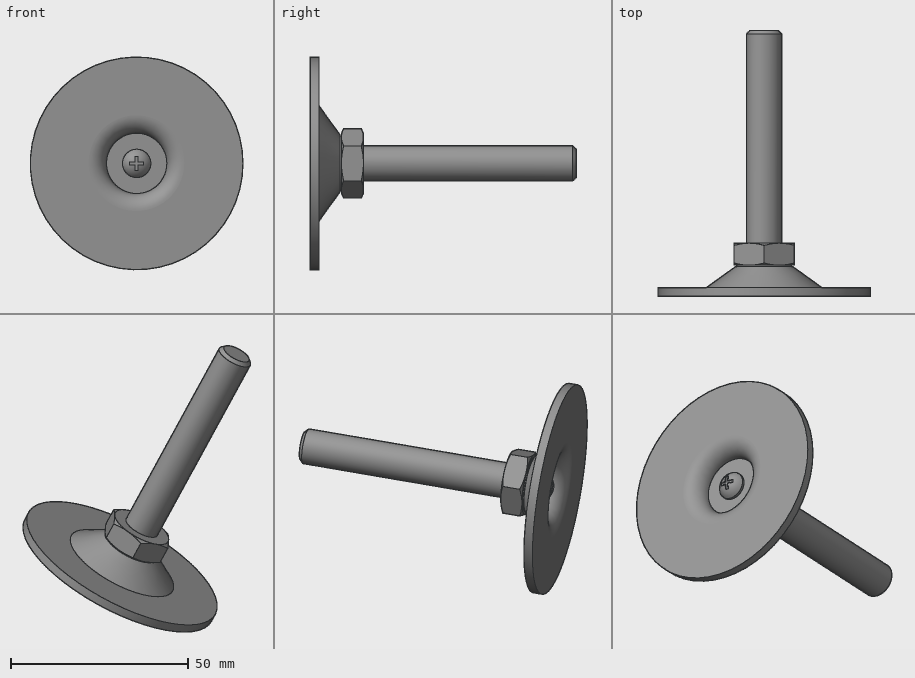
import cadquery as cq
import math


plate_diameter = 60.0
plate_thickness = 2.5
cone_base_diameter = 32.6
cone_top_diameter = 16.2
cone_top_height = 8.4

recess_floor_diameter = 17.0
flare_radius = 5.0
recess_depth = flare_radius

pin_diameter = 8.0
pin_rim_height = 0.7
dome_height = 2.4
slot_length = 4.0
slot_width = 0.8
slot_depth = 0.5

nut_across_flats = 17.0
hexagon_half_angle = 30.0
nut_bottom_height = 8.8
nut_top_height = 15.0
nut_chamfer_angle = 25.0
collar_diameter = 15.5

overall_length = 75.0
stud_diameter = 10.0
stud_chamfer = 1.0


def revolve_about_y(profile):
    """Turn a closed profile, drawn as (radius, height), about the Y axis."""
    return profile.close().revolve(360, (0, 0, 0), (0, 1, 0))


def cylinder(diameter, bottom, top):
    """Cylinder on the Y axis between two heights."""
    return cq.Workplane("XZ", origin=(0, bottom, 0)).circle(diameter / 2).extrude(bottom - top)


def make_foot():
    """Plate and cone with a recess whose wall flares out smoothly into the ground face."""
    floor_radius = recess_floor_diameter / 2
    mouth_radius = floor_radius + flare_radius
    arc_offset = flare_radius * math.sin(math.radians(45))
    profile = (
        cq.Workplane("XY")
        .moveTo(mouth_radius, 0)
        .lineTo(plate_diameter / 2, 0)
        .lineTo(plate_diameter / 2, plate_thickness)
        .lineTo(cone_base_diameter / 2, plate_thickness)
        .lineTo(cone_top_diameter / 2, cone_top_height)
        .lineTo(0, cone_top_height)
        .lineTo(0, recess_depth)
        .lineTo(floor_radius, recess_depth)
        .threePointArc((mouth_radius - arc_offset, flare_radius - arc_offset), (mouth_radius, 0))
    )
    return revolve_about_y(profile)


def make_pin_end():
    """Round pin with a domed face and a cross slot."""
    pin_radius = pin_diameter / 2
    rim_height = recess_depth - pin_rim_height
    crown_height = rim_height - dome_height
    sphere_radius = (pin_radius**2 + dome_height**2) / (2 * dome_height)
    mid_radius = pin_radius / 2
    mid_height = crown_height + sphere_radius - math.sqrt(sphere_radius**2 - mid_radius**2)
    profile = (
        cq.Workplane("XY")
        .moveTo(0, crown_height)
        .threePointArc((mid_radius, mid_height), (pin_radius, rim_height))
        .lineTo(pin_radius, cone_top_height)
        .lineTo(0, cone_top_height)
    )
    pin = revolve_about_y(profile)
    slot_bottom = crown_height + slot_depth
    for length_x, length_z in ((slot_length, slot_width), (slot_width, slot_length)):
        slot = cq.Workplane("XZ", origin=(0, slot_bottom, 0)).rect(length_x, length_z).extrude(slot_bottom)
        pin = pin.cut(slot)
    return pin


def make_nut():
    """Hexagon with flats facing +X and -X and corners chamfered at both ends."""
    corner_radius = nut_across_flats / 2 / math.cos(math.radians(hexagon_half_angle))
    flat_radius = nut_across_flats / 2
    chamfer_height = (corner_radius - flat_radius) * math.tan(math.radians(nut_chamfer_angle))
    hexagon = (
        cq.Workplane("XZ", origin=(0, nut_bottom_height, 0))
        .polygon(6, 2 * corner_radius)
        .extrude(nut_bottom_height - nut_top_height)
        .rotate((0, 0, 0), (0, 1, 0), hexagon_half_angle)
    )
    envelope = (
        cq.Workplane("XY")
        .moveTo(0, nut_bottom_height)
        .lineTo(flat_radius, nut_bottom_height)
        .lineTo(corner_radius, nut_bottom_height + chamfer_height)
        .lineTo(corner_radius, nut_top_height - chamfer_height)
        .lineTo(flat_radius, nut_top_height)
        .lineTo(0, nut_top_height)
    )
    return hexagon.intersect(revolve_about_y(envelope))


def make_stud():
    """Plain stud with a chamfered free end."""
    return cylinder(stud_diameter, nut_top_height, overall_length).faces(">Y").chamfer(stud_chamfer)


collar = cylinder(collar_diameter, cone_top_height, nut_bottom_height)
result = make_foot().union(make_pin_end()).union(collar).union(make_nut()).union(make_stud())